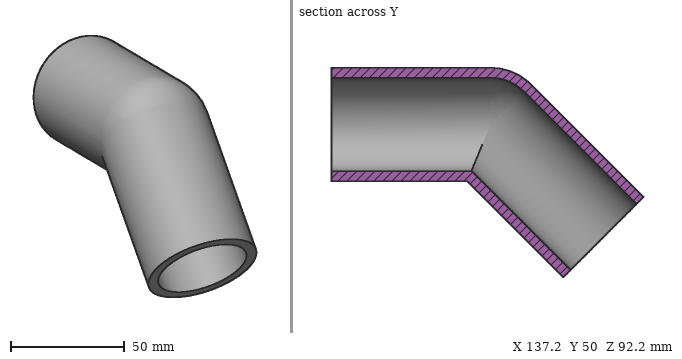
import cadquery as cq
import math

OUTER_DIAMETER = 50.0
BORE_DIAMETER = 40.8
LEG_LENGTH = 70.0
BEND_ANGLE = 45.0

BEND_CENTRE = cq.Vector(0, 0, 0)
INLET_DIRECTION = cq.Vector(-1, 0, 0)
OUTLET_DIRECTION = cq.Vector(
    math.cos(math.radians(BEND_ANGLE)),
    0,
    -math.sin(math.radians(BEND_ANGLE)),
)


def leg(diameter, direction):
    """Round bar from the bend centre to one open end."""
    bar = cq.Solid.makeCylinder(diameter / 2, LEG_LENGTH, BEND_CENTRE, direction)
    return cq.Workplane(bar)


def bent_bar(diameter):
    """Two round legs joined at the bend by a ball of the same diameter."""
    ball = cq.Workplane(origin=BEND_CENTRE.toTuple()).sphere(diameter / 2)
    inlet = leg(diameter, INLET_DIRECTION)
    outlet = leg(diameter, OUTLET_DIRECTION)
    return inlet.union(outlet).union(ball)


result = bent_bar(OUTER_DIAMETER).cut(bent_bar(BORE_DIAMETER))